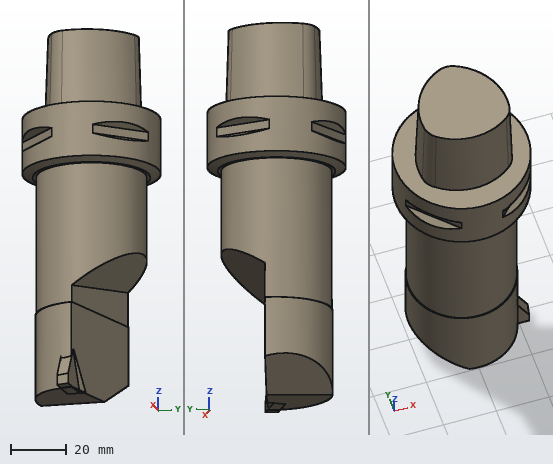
import cadquery as cq
import math

total_height = 135.0
collar_diameter = 50.0
bar_diameter = 40.0
head_diameter = 40.5
shank_bottom = 105.3
collar_bottom = 83.7
collar_chamfer_height = 1.4
collar_chamfer_width = 3.8
head_top = 32.0

shank_base_section = (17.8, 3.1, 18.5, 16.5)
shank_top_section = (17.0, 2.8, 17.5, 15.4)
corner_angles = (90, 210, 330)
corner_spacing = 120

slot_count = 4
slot_first_angle = 45
slot_z = 95.0
slot_floor_distance = 22.3
slot_floor_height = 3.2
slot_mouth_height = 6.5

ramp_top = 52.9
ramp_bottom = 44.8
chip_face_left_y = 8.2
chip_face_slope = 0.25

end_bevel_left_z = 11.2
end_bevel_right_x = -3.2
end_bevel_right_z = 0.7
end_relief_angle = 2.0

insert_top_y = -1.2
insert_thickness = 4.5
insert_relief_angle = 11.0
insert_right_x = 24.7
insert_bottom_z = 0.3
insert_side = 16.5
insert_nose_z = 4.0

bar_radius = bar_diameter / 2
head_radius = head_diameter / 2
collar_radius = collar_diameter / 2
chip_face_left_x = -math.sqrt(bar_radius**2 - chip_face_left_y**2)
margin = 6.8


def polar(radius, offset, angle):
    """Point at a radial distance and a sideways offset from the direction at an angle."""
    turn = math.radians(angle)
    x = radius * math.cos(turn) - offset * math.sin(turn)
    y = radius * math.sin(turn) + offset * math.cos(turn)
    return (x, y)


def shank_outline(plane, section):
    """Add one closed three-lobed outline of alternating corner and side arcs."""
    chord_distance, half_chord, peak, side_middle = section
    outline = plane.moveTo(*polar(chord_distance, -half_chord, corner_angles[0]))
    for angle in corner_angles:
        corner_end = polar(chord_distance, half_chord, angle)
        outline = outline.threePointArc(polar(peak, 0, angle), corner_end)
        next_corner = angle + corner_spacing
        side_end = polar(chord_distance, -half_chord, next_corner)
        side_point = polar(side_middle, 0, angle + corner_spacing / 2)
        outline = outline.threePointArc(side_point, side_end)
    return outline.close()


def make_shank():
    base = shank_outline(cq.Workplane("XY", origin=(0, 0, shank_bottom)), shank_base_section)
    both = shank_outline(base.workplane(offset=total_height - shank_bottom), shank_top_section)
    return both.loft(ruled=True)


def make_collar():
    profile = [
        (0, collar_bottom),
        (collar_radius - collar_chamfer_width, collar_bottom),
        (collar_radius, collar_bottom + collar_chamfer_height),
        (collar_radius, shank_bottom),
        (0, shank_bottom),
    ]
    collar = cq.Workplane("XZ").polyline(profile).close().revolve(360, (0, 0), (0, 1))
    for index in range(slot_count):
        collar = collar.cut(gripper_slot(slot_first_angle + index * 360 / slot_count))
    return collar


def gripper_slot(angle):
    """Flared straight slot, widening from its floor to the collar surface."""
    floor_half = slot_floor_height / 2
    mouth_half = slot_mouth_height / 2
    profile = [
        (slot_floor_distance, slot_z - floor_half),
        (collar_radius, slot_z - mouth_half),
        (collar_radius + margin, slot_z - mouth_half),
        (collar_radius + margin, slot_z + mouth_half),
        (collar_radius, slot_z + mouth_half),
        (slot_floor_distance, slot_z + floor_half),
    ]
    slot = cq.Workplane("XZ").polyline(profile).close().extrude(collar_radius, both=True)
    return slot.rotate((0, 0, 0), (0, 0, 1), angle)


def chip_relief():
    """Material removed from the +Y side, shared by the holder and the head."""
    reach = head_radius + margin

    def chip_face_y(x):
        return chip_face_left_y - chip_face_slope * (x - chip_face_left_x)

    plan = [
        (-reach, chip_face_y(-reach)),
        (reach, chip_face_y(reach)),
        (reach, reach),
        (-reach, reach),
    ]
    beside_face = cq.Workplane("XY", origin=(0, 0, -margin)).polyline(plan).close()
    beside_face = beside_face.extrude(ramp_top + reach)

    ramp_slope = (ramp_top - ramp_bottom) / (bar_radius - chip_face_left_y)

    def ramp_z(y):
        return ramp_bottom + ramp_slope * (y - chip_face_left_y)

    side = [(-reach, -margin), (reach, -margin), (reach, ramp_z(reach)), (-reach, ramp_z(-reach))]
    below_ramp = cq.Workplane("YZ").polyline(side).close().extrude(reach, both=True)
    return beside_face.intersect(below_ramp)


def make_holder():
    bar = cq.Workplane("XY", origin=(0, 0, head_top)).circle(bar_radius)
    bar = bar.extrude(collar_bottom - head_top).cut(chip_relief())
    return make_collar().union(bar).union(make_shank())


def insert_outline(plane, inset):
    """Equilateral triangle standing on its lower side, with the right corner cut off."""
    slant = math.radians(60)
    nose_x = insert_right_x - inset
    right_corner_x = insert_right_x + (insert_nose_z - insert_bottom_z) / math.tan(slant)
    center_x = right_corner_x - insert_side / 2
    apex_z = insert_bottom_z + insert_side * math.sin(slant) - 2 * inset
    base_half = (apex_z - insert_bottom_z) / math.tan(slant)
    points = [
        (center_x - base_half, insert_bottom_z),
        (nose_x, insert_bottom_z),
        (nose_x, apex_z - (nose_x - center_x) * math.tan(slant)),
        (center_x, apex_z),
    ]
    return plane.polyline(points).close()


def insert_plane():
    """Plane of the insert's rake face, with its normal into the insert (-Y)."""
    return cq.Workplane("XZ", origin=(0, insert_top_y, 0))


def make_insert():
    """Insert whose slanted sides and nose taper from its rake face towards -Y."""
    inset = insert_thickness * math.tan(math.radians(insert_relief_angle))
    rake = insert_outline(insert_plane(), 0)
    return insert_outline(rake.workplane(offset=insert_thickness), inset).loft(ruled=True)


def insert_opening():
    """Clearance straight out of the head above the rake face."""
    return insert_outline(insert_plane(), 0).extrude(-head_radius)


def end_bevel():
    """Sloped cut across the lower -X side."""
    slope = (end_bevel_left_z - end_bevel_right_z) / (end_bevel_right_x + head_radius)
    left_x = -head_radius - margin
    right_x = end_bevel_right_x + margin
    profile = [
        (left_x, end_bevel_left_z + slope * margin),
        (right_x, end_bevel_right_z - slope * margin),
        (left_x, end_bevel_right_z - slope * margin),
    ]
    return cq.Workplane("XZ").polyline(profile).close().extrude(head_radius + margin, both=True)


def end_relief():
    """Wedge below the end face, thickening away from the lower edge of the chip face."""
    reach = 2 * head_diameter
    profile = [(0, 0), (-reach, 0), (-reach, reach * math.tan(math.radians(end_relief_angle)))]
    wedge = cq.Workplane("YZ").polyline(profile).close().extrude(reach, both=True)
    chip_face_turn = -math.degrees(math.atan(chip_face_slope))
    wedge = wedge.rotate((0, 0, 0), (0, 0, 1), chip_face_turn)
    return wedge.translate((chip_face_left_x, chip_face_left_y, 0))


def make_head(insert):
    """Cutting head with a slightly inclined end face and a pocket for the insert."""
    head = cq.Workplane("XY").circle(head_radius).extrude(head_top)
    head = head.cut(chip_relief()).cut(end_relief()).cut(end_bevel())
    return head.cut(insert).cut(insert_opening())


holder = make_holder()
insert = make_insert()
head = make_head(insert)

result = cq.Compound.makeCompound([holder.val(), head.val(), insert.val()])